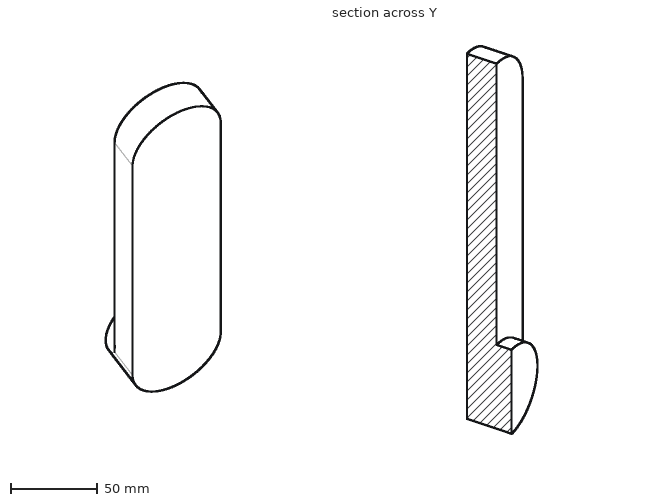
import cadquery as cq

length = 260.0
width = 60.0
total_thickness = 30.0
arm_thickness = 20.0

disc_thickness = total_thickness - arm_thickness
end_spacing = length - width


def make_arm():
    """Upright arm with full-round ends, its lower end centred on the origin."""
    return (
        cq.Workplane("YZ")
        .center(0, end_spacing / 2)
        .slot2D(length, width, 90)
        .extrude(arm_thickness)
    )


def make_disc():
    """Round disc on the -X face, concentric with the lower end of the arm."""
    return cq.Workplane("YZ").circle(width / 2).extrude(-disc_thickness)


result = make_arm().union(make_disc())